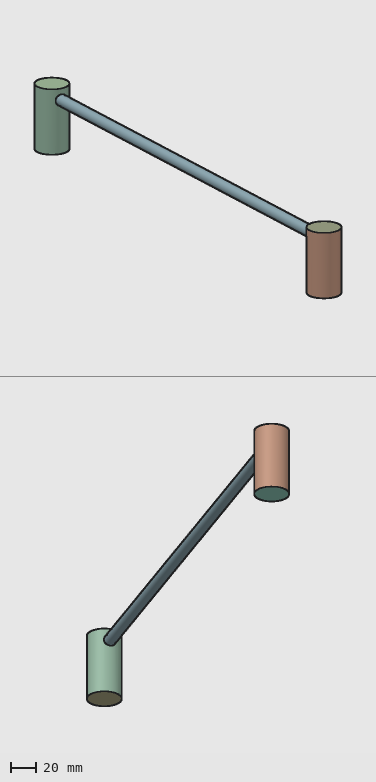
import cadquery as cq

overall_length = 428.0
post_diameter = 28.0
post_height = 55.0

rail_diameter = 10.0
rail_axis_below_top = 10.0

post_spacing = overall_length - post_diameter
rail_height = post_height - rail_axis_below_top

posts = (
    cq.Workplane("XY")
    .pushPoints([(-post_spacing / 2, 0), (post_spacing / 2, 0)])
    .circle(post_diameter / 2)
    .extrude(post_height)
)

rail = (
    cq.Workplane("YZ", origin=(-post_spacing / 2, 0, rail_height))
    .circle(rail_diameter / 2)
    .extrude(post_spacing)
)

result = posts.union(rail)